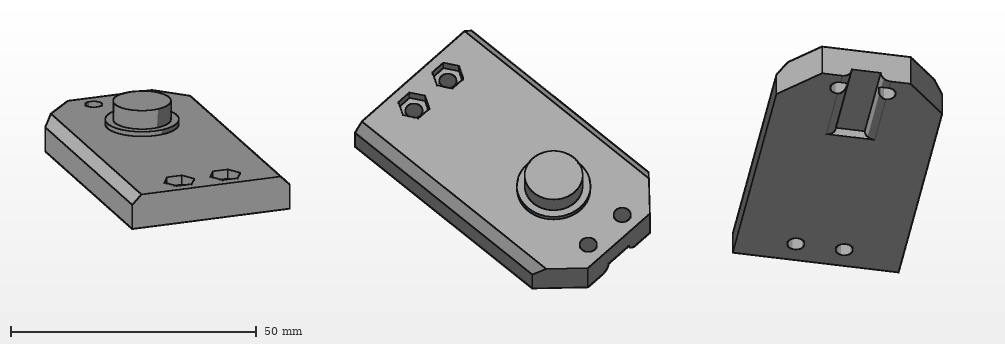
import cadquery as cq
import math

plate_length = 57.85
plate_width = 34.3
plate_thickness = 7.24
nose_corner_cut = 8.0
side_chamfer = 2.0

button_x = 18.35
collar_diameter = 15.0
collar_height = 1.0
button_diameter = 11.8
button_height = 4.0

hole_diameter = 3.5
hole_pair_spacing = 10.0
nose_hole_x = 3.85
tail_hole_x = plate_length - 5.0
nut_across_corners = 6.5
nut_pocket_depth = 2.0

channel_depth = 2.0
channel_roof_width = 6.0
channel_length = button_x


def make_plate():
    plate = cq.Workplane("XY").box(
        plate_length, plate_width, plate_thickness, centered=(False, True, False)
    )
    plate = plate.edges("|Z and <X").chamfer(nose_corner_cut)
    return plate.faces(">Z").edges("|X").chamfer(side_chamfer)


def make_button():
    collar_top = plate_thickness + collar_height
    collar = (
        cq.Workplane("XY", origin=(button_x, 0, 0))
        .circle(collar_diameter / 2)
        .extrude(collar_top)
    )
    button = (
        cq.Workplane("XY", origin=(button_x, 0, 0))
        .circle(button_diameter / 2)
        .extrude(collar_top + button_height)
    )
    return collar.union(button)


def make_hole_pair(x):
    half_spacing = hole_pair_spacing / 2
    return (
        cq.Workplane("XY")
        .pushPoints([(x, -half_spacing), (x, half_spacing)])
        .circle(hole_diameter / 2)
        .extrude(plate_thickness)
    )


def make_nut_pockets():
    half_spacing = hole_pair_spacing / 2
    return (
        cq.Workplane("XY", origin=(tail_hole_x, 0, plate_thickness - nut_pocket_depth))
        .transformed(rotate=(0, 0, 90))
        .pushPoints([(-half_spacing, 0), (half_spacing, 0)])
        .polygon(6, nut_across_corners)
        .extrude(nut_pocket_depth)
    )


def make_channel():
    roof_half = channel_roof_width / 2
    mouth_half = roof_half + channel_depth
    arc_middle_y = mouth_half - channel_depth * math.sin(math.pi / 4)
    arc_middle_z = channel_depth * (1 - math.cos(math.pi / 4))
    return (
        cq.Workplane("YZ")
        .moveTo(-mouth_half, 0)
        .threePointArc((-arc_middle_y, arc_middle_z), (-roof_half, channel_depth))
        .lineTo(roof_half, channel_depth)
        .threePointArc((arc_middle_y, arc_middle_z), (mouth_half, 0))
        .close()
        .extrude(channel_length)
    )


result = (
    make_plate()
    .union(make_button())
    .cut(make_hole_pair(nose_hole_x))
    .cut(make_hole_pair(tail_hole_x))
    .cut(make_nut_pockets())
    .cut(make_channel())
)